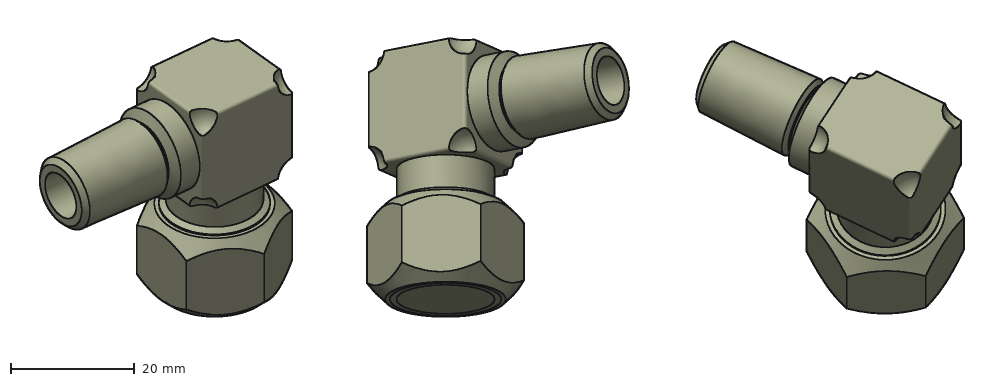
import cadquery as cq
import math

nut_height = 15.55
nut_across_flats = 22.0
nut_flat_radius = 9.7
collar_radius = 9.0
collar_top = 16.5
collar_rim = 15.82
neck_radius = 7.9

total_height = 41.0
block_width = 17.03
block_side = 19.0
block_fillet = 0.55
corner_scoop_radius = 3.22
block_bottom = total_height - block_side
block_center_z = total_height - block_side / 2

total_length = 43
boss_radius = neck_radius
boss_end = 13.4
groove_start = 14.35
groove_end = 14.6
groove_radius = 5.98
taper_start = 15.3
taper_start_radius = 6.85
taper_end = 31.05
taper_end_radius = 6.3
stub_end = total_length - nut_across_flats / 2
stub_tip_radius = 5.38
bore_radius = 4.0


def make_block():
    """Rounded block with a spherical scoop at each of its eight corners."""
    block = cq.Workplane("XY").box(block_width, block_side, block_side).edges().fillet(block_fillet)
    corners = cq.Workplane("XY").box(block_width, block_side, block_side).vertices()
    for corner in corners.vals():
        place = corner.Center()
        outward_angle = math.degrees(math.atan2(place.y, place.x))
        scoop = cq.Workplane("XY").sphere(corner_scoop_radius).rotate((0, 0, 0), (0, 0, 1), outward_angle)
        block = block.cut(scoop.translate(place))
    return block.translate((0, 0, block_center_z))


def make_stub():
    """Boss, relief groove and tapered spigot turned about the horizontal axis."""
    profile = [
        (0, 0),
        (boss_radius, 0),
        (boss_radius, -boss_end),
        (groove_radius, -groove_start),
        (groove_radius, -groove_end),
        (taper_start_radius, -taper_start),
        (taper_end_radius, -taper_end),
        (stub_tip_radius, -stub_end),
        (0, -stub_end),
    ]
    stub = cq.Workplane("XY").polyline(profile).close().revolve(360, (0, 0, 0), (0, 1, 0))
    return stub.translate((0, 0, block_center_z))


def make_elbow():
    """Block with its downward neck and its stub, bored blind to the block center."""
    neck = cq.Workplane("XY").circle(neck_radius).extrude(block_bottom + block_fillet)
    bore = cq.Workplane("XZ", origin=(0, 0, block_center_z)).circle(bore_radius).extrude(stub_end)
    return make_block().union(neck).union(make_stub()).cut(bore)


def make_collar():
    """Sleeve around the neck, topped by a cone that rises from its rim to the neck."""
    profile = [
        (neck_radius, 0),
        (collar_radius, 0),
        (collar_radius, collar_rim),
        (neck_radius, collar_top),
    ]
    return cq.Workplane("XZ").polyline(profile).close().revolve(360, (0, 0, 0), (0, 1, 0))


def make_nut():
    """Hexagon nut with corners on the X axis and 45 degree turned ends."""
    corner_radius = nut_across_flats / math.sqrt(3)
    turned_chamfer = corner_radius - nut_flat_radius
    hexagon = cq.Workplane("XY").polygon(6, 2 * corner_radius).extrude(nut_height)
    turned_blank = cq.Workplane("XY").circle(corner_radius).extrude(nut_height)
    turned_blank = turned_blank.faces("<Z or >Z").chamfer(turned_chamfer)
    bore = cq.Workplane("XY").circle(collar_radius).extrude(nut_height)
    return hexagon.intersect(turned_blank).cut(bore)


elbow = make_elbow()
collar = make_collar()
nut = make_nut()

result = cq.Compound.makeCompound([elbow.val(), collar.val(), nut.val()])